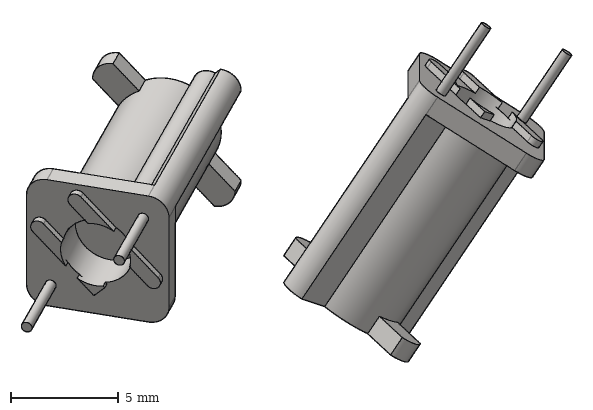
import cadquery as cq
import math

body_length = 11.58
pin_length = 3.86
flange_thickness = 1.0

side = 6.93
corner_radius = 1.0
diagonal_angle = 45

core_radius = 2.5
bore_radius = 1.7
bore_depth = 2.0

guide_radius = 0.75
guide_x = 1.88
guide_z = 2.52

rib_height = 0.35
rib_width = 0.74
rib_offset = 1.28
rib_end = 2.65
short_rib_end = 1.55

pin_radius = 0.26
upper_pin = 2.21
lower_pin = -2.29


def rounded_square(length):
    """Envelope prism from Y = 0 to Y = length."""
    return (
        cq.Workplane("XZ")
        .rect(side, side)
        .extrude(-length)
        .edges("|Y")
        .fillet(corner_radius)
    )


def cylinder(x, z, radius, length):
    """Round bar from Y = 0 to Y = length."""
    return cq.Workplane("XZ").center(x, z).circle(radius).extrude(-length)


def diagonal_band(start, length, angle):
    """Corner-to-corner bar whose faces meet the ends of the corner rounds."""
    band_width = math.sqrt(2) * corner_radius
    band_span = 2 * side
    return (
        cq.Workplane("XZ", origin=(0, start, 0))
        .rect(band_span, band_width)
        .extrude(-length)
        .rotate((0, 0, 0), (0, 1, 0), angle)
    )


def rib(offset, lower_end, rounded):
    """Stand-off rib, drawn along X and then turned onto the diagonal."""
    length = lower_end + rib_end
    bar = (
        cq.Workplane("XZ")
        .center((lower_end - rib_end) / 2, offset)
        .rect(length, rib_width)
        .extrude(rib_height)
    )
    bar = bar.union(cylinder(-rib_end, offset, rib_width / 2, -rib_height))
    if rounded:
        bar = bar.union(cylinder(lower_end, offset, rib_width / 2, -rib_height))
    return bar.rotate((0, 0, 0), (0, 1, 0), diagonal_angle)


rear_lug_start = body_length - flange_thickness
posts = diagonal_band(0, body_length, -diagonal_angle)
rear_lugs = diagonal_band(rear_lug_start, flange_thickness, diagonal_angle)
body = posts.union(rear_lugs).intersect(rounded_square(body_length))
body = body.union(cylinder(0, 0, core_radius, body_length))
body = body.union(cylinder(guide_x, guide_z, guide_radius, body_length))

body = body.union(rounded_square(flange_thickness))
body = body.union(rib(rib_offset, rib_end, True))
body = body.union(rib(-rib_offset, short_rib_end, False))

bore = cylinder(0, 0, bore_radius, bore_depth + rib_height)
body = body.cut(bore.translate((0, -rib_height, 0)))

for position in (upper_pin, lower_pin):
    body = body.union(cylinder(position, position, pin_radius, -pin_length))

result = body